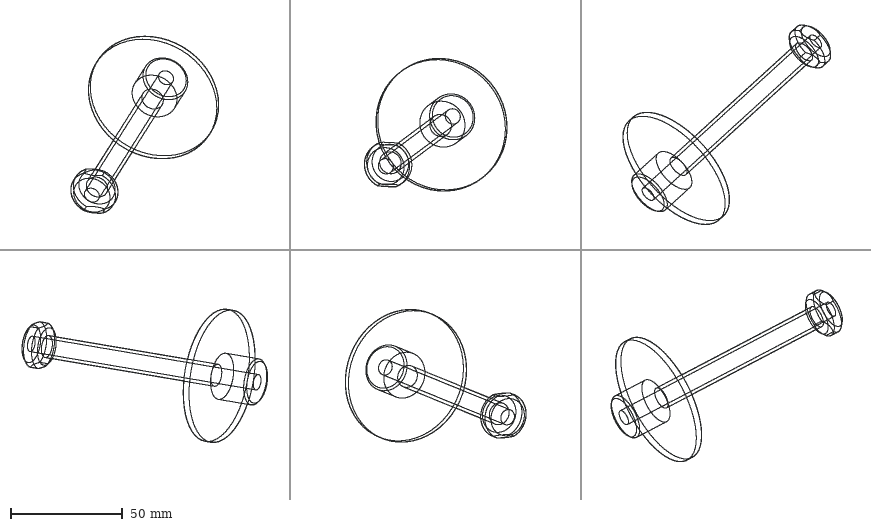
import cadquery as cq

total_length = 116.2
head_length = 8.0
head_diameter = 20.9
head_chamfer = 2.0
flat_spacing = 19.0
rod_diameter = 10.0
disc_diameter = 60.0
disc_thickness = 3.0
boss_diameter = 20.9
boss_length = 18.0
boss_chamfer = 1.0
bore_diameter = 7.0

head_front = -total_length / 2
head_back = head_front + head_length
boss_back = total_length / 2
disc_back = boss_back - boss_length
disc_front = disc_back - disc_thickness


def cylinder(diameter, start, end):
    """Solid cylinder along Y from start to end."""
    plane = cq.Plane(origin=(0, start, 0), xDir=(1, 0, 0), normal=(0, 1, 0))
    return cq.Workplane(plane).circle(diameter / 2).extrude(end - start)


def make_head():
    """Chamfered round head with two flats facing +Z and -Z."""
    head = cylinder(head_diameter, head_front, head_back).edges().chamfer(head_chamfer)
    flats = cq.Workplane("XY").box(head_diameter, head_length, flat_spacing)
    return head.intersect(flats.translate((0, head_front + head_length / 2, 0)))


def make_boss():
    """Round boss behind the disc, chamfered at its free end."""
    return cylinder(boss_diameter, disc_back, boss_back).faces(">Y").chamfer(boss_chamfer)


rod = cylinder(rod_diameter, head_back, disc_front)
disc = cylinder(disc_diameter, disc_front, disc_back)
bore = cylinder(bore_diameter, head_front, boss_back)

result = make_head().union(rod).union(disc).union(make_boss()).cut(bore)